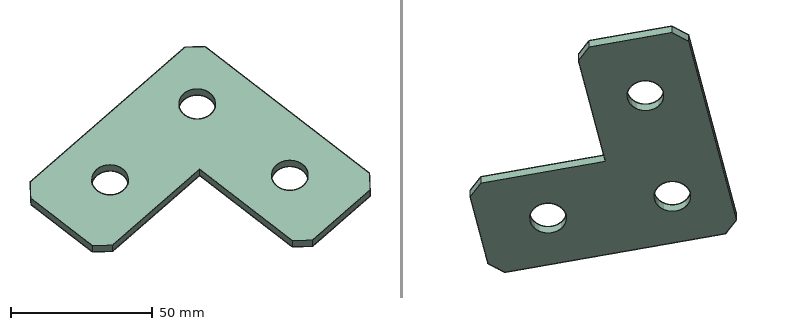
import cadquery as cq

side = 90.0
arm_width = 40.0
thickness = 4.0
corner_chamfer = 5.0
hole_diameter = 13.0
hole_pitch = 45.0

half = side / 2
inner_x = -half + arm_width
inner_y = half - arm_width

plate = (
    cq.Workplane("XY")
    .moveTo(-half, half)
    .lineTo(half, half)
    .lineTo(half, inner_y)
    .lineTo(inner_x, inner_y)
    .lineTo(inner_x, -half)
    .lineTo(-half, -half)
    .close()
    .extrude(thickness)
)

inner_corner = cq.selectors.NearestToPointSelector((inner_x, inner_y, thickness / 2))
outward_corners = cq.StringSyntaxSelector("|Z") - inner_corner
plate = plate.edges(outward_corners).chamfer(corner_chamfer)

elbow_x = -half + arm_width / 2
elbow_y = half - arm_width / 2
hole_centres = [
    (elbow_x, elbow_y),
    (elbow_x + hole_pitch, elbow_y),
    (elbow_x, elbow_y - hole_pitch),
]
holes = cq.Workplane("XY").pushPoints(hole_centres).circle(hole_diameter / 2).extrude(thickness)

result = plate.cut(holes)